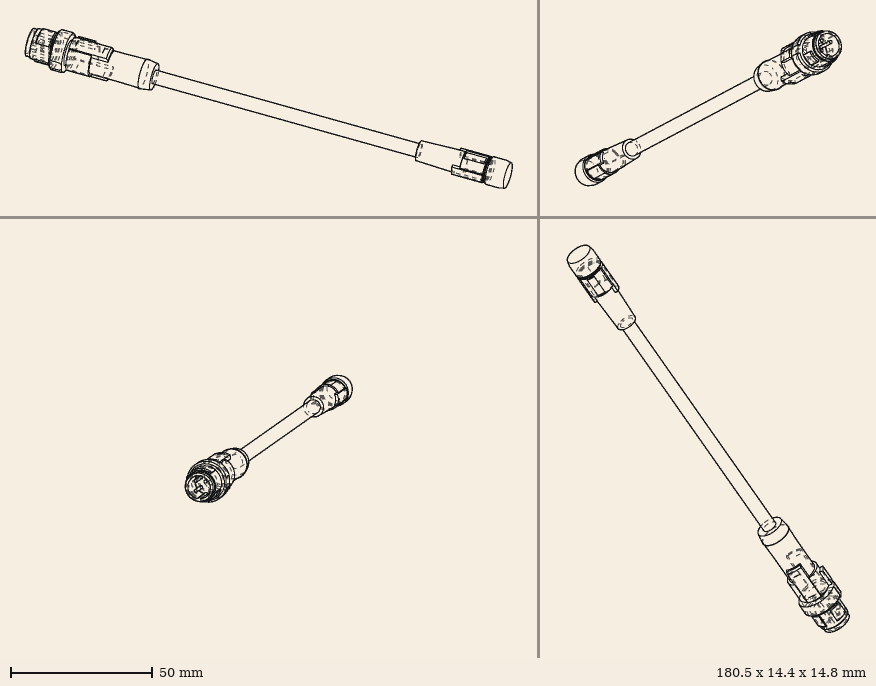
import cadquery as cq
import math


length = 180.5
socket_rim_end = 1.8
ring_start = 9.4
ring_end = 14.5
collar_start = 15.7
collar_end = 24.2
top_rib_end = 30.5
index_rib_end = 22.2
rear_taper_start = 34.8
flange_start = 42.8
large_plug_end = 47.0
grip_start = 147.0
grip_end = 160.0
side_rib_start = 161.0
barrel_start = 163.9
barrel_end = 172.5
nut_start = 173.1
nut_full_start = 173.8
nut_taper_start = 178.5

cable_radius = 2.5
cable_overlap = 1.8
sleeve_radius = 5.6
rim_step = 0.45
socket_radius = sleeve_radius - rim_step
ring_radius = 7.4
neck_radius = 4.7
collar_radius = 6.1
collar_step = 1.0
large_body_radius = collar_radius - collar_step
rear_flare = 0.2
large_rear_radius = large_body_radius + rear_flare
flange_step = 0.2
flange_radius = large_rear_radius + flange_step
large_end_radius = 4.9
grip_rear_radius = 4.2
grip_flare = 0.45
grip_radius = grip_rear_radius - grip_flare
barrel_radius = 4.7
nut_neck_radius = 4.2
nut_front_radius = 4.7
nut_chamfer = 0.45
nut_radius = nut_front_radius + nut_chamfer
nut_end_radius = 4.7

ring_chamfer = 0.7
ring_rear_chamfer_depth = 0.2
ring_flat_depth = 0.27
index_depth = 0.09
index_top = ring_radius - index_depth
index_width = 3.0

cavity_radius = 4.2
cavity_depth = 9.0
pin_radius = 0.5
pin_offset = 1.8
pin_setback = 1.8
key_radius = 0.5

pad_radius = 6.1
pad_start = 3.2
pad_end = 8.8
pad_ramp = 0.4
wide_pad_angle = 74.0
narrow_pad_angle = 46.0
narrow_pad_tilt = 45.0

top_rib_radius = 6.7
top_rib_ramp = 0.7
top_rib_width = 5.6
top_window_start = 17.7
top_window_end = 27.8
top_window_width = 2.5
side_rib_height = 0.45
side_rib_radius = barrel_radius + side_rib_height
side_rib_width = 4.0
side_window_start = 162.0
side_window_end = 172.2
side_window_width = 0.7
barrel_window_start = 164.5
barrel_window_end = 172.0
barrel_window_width = 2.9


def revolve(profile):
    """Turn (x, radius) points about the X axis."""
    points = [(profile[0][0], 0), *profile, (profile[-1][0], 0)]
    return cq.Workplane("XY").polyline(points).close().revolve(360, (0, 0, 0), (1, 0, 0))


def cylinder(start, end, radius, y=0, z=0):
    return cq.Workplane("YZ", origin=(start, y, z)).circle(radius).extrude(end - start)


def block(start, end, y_range, z_range):
    size = (end - start, y_range[1] - y_range[0], z_range[1] - z_range[0])
    return cq.Workplane("XY", origin=(start, y_range[0], z_range[0])).box(*size, centered=False)


def rib_pair(start, end, radius, width):
    """Round-topped ribs on the +Z and -Z sides."""
    slab = block(start, end, (-width / 2, width / 2), (-radius, radius))
    return slab.intersect(cylinder(start, end, radius))


def window_cuts(start, end, radius, width):
    """Flats on the +Z and -Z sides whose chord has the given width."""
    flat_z = math.sqrt(radius**2 - (width / 2) ** 2)
    upper = block(start, end, (-width, width), (flat_z, radius))
    return upper.union(upper.mirror("XY"))


def sleeve_pad(direction, spread):
    """Raised sector with ramped ends, centred on an angle measured from +Y towards +Z."""
    ramped = revolve(
        [(pad_start, sleeve_radius), (pad_start + pad_ramp, pad_radius),
         (pad_end - pad_ramp, pad_radius), (pad_end, sleeve_radius)]
    )
    reach = 2 * pad_radius
    half_width = reach * math.tan(math.radians(spread / 2))
    wedge = (
        cq.Workplane("YZ", origin=(pad_start, 0, 0))
        .polyline([(0, 0), (reach, -half_width), (reach, half_width)])
        .close()
        .extrude(pad_end - pad_start)
        .rotate((0, 0, 0), (1, 0, 0), direction)
    )
    return ramped.intersect(wedge)


large_plug = revolve(
    [
        (0, socket_radius),
        (socket_rim_end, socket_radius),
        (socket_rim_end, sleeve_radius),
        (ring_start, sleeve_radius),
        (ring_start, neck_radius),
        (collar_start, neck_radius),
        (collar_start, collar_radius),
        (collar_end, collar_radius),
        (collar_end, large_body_radius),
        (rear_taper_start, large_body_radius),
        (flange_start, large_rear_radius),
        (flange_start, flange_radius),
        (large_plug_end, large_end_radius),
    ]
)
for direction, spread in (
    (90, wide_pad_angle),
    (-narrow_pad_tilt, narrow_pad_angle),
    (180 + narrow_pad_tilt, narrow_pad_angle),
):
    large_plug = large_plug.union(sleeve_pad(direction, spread))

ring = revolve(
    [
        (ring_start, ring_radius - ring_chamfer),
        (ring_start + ring_chamfer, ring_radius),
        (ring_end - ring_chamfer, ring_radius),
        (ring_end, ring_radius - ring_rear_chamfer_depth),
    ]
)
y_limits = (ring_flat_depth - ring_radius, index_top)
ring = ring.intersect(block(ring_start, ring_end, y_limits, (-ring_radius, ring_radius)))
index_z = (-index_width / 2, index_width / 2)
large_plug = large_plug.union(ring)
for start, end in ((ring_start, ring_end), (collar_start, index_rib_end)):
    large_plug = large_plug.union(block(start, end, (0, index_top), index_z))

top_ribs = rib_pair(collar_start, top_rib_end, top_rib_radius, top_rib_width)
top_rib_envelope = revolve(
    [
        (collar_start, top_rib_radius),
        (top_rib_end - top_rib_ramp, top_rib_radius),
        (top_rib_end, top_rib_radius - top_rib_ramp),
    ]
)
large_plug = large_plug.union(top_ribs.intersect(top_rib_envelope))
large_plug = large_plug.cut(
    window_cuts(top_window_start, top_window_end, top_rib_radius, top_window_width)
)

large_plug = large_plug.cut(cylinder(0, cavity_depth, cavity_radius))
for y, z in ((pin_offset, pin_offset), (-pin_offset, pin_offset), (pin_offset, -pin_offset)):
    pin = cylinder(pin_setback, cavity_depth + pin_radius, pin_radius, y, z)
    large_plug = large_plug.union(pin)
large_plug = large_plug.union(cylinder(0, cavity_depth, key_radius, z=-cavity_radius))

small_plug = revolve(
    [
        (grip_start, grip_radius),
        (grip_end, grip_rear_radius),
        (barrel_start, grip_rear_radius),
        (barrel_start, barrel_radius),
        (barrel_end, barrel_radius),
        (barrel_end, nut_neck_radius),
        (nut_start, nut_neck_radius),
        (nut_start, nut_front_radius),
        (nut_full_start, nut_radius),
        (nut_taper_start, nut_radius),
        (length, nut_end_radius),
    ]
)
small_plug = small_plug.cut(
    window_cuts(barrel_window_start, barrel_window_end, barrel_radius, barrel_window_width)
)
side_ribs = rib_pair(side_rib_start, barrel_end, side_rib_radius, side_rib_width)
side_ribs = side_ribs.cut(
    window_cuts(side_window_start, side_window_end, side_rib_radius, side_window_width)
)
small_plug = small_plug.union(side_ribs.rotate((0, 0, 0), (1, 0, 0), 90))

cable = cylinder(large_plug_end - cable_overlap, grip_start + cable_overlap, cable_radius)
result = large_plug.union(cable).union(small_plug)